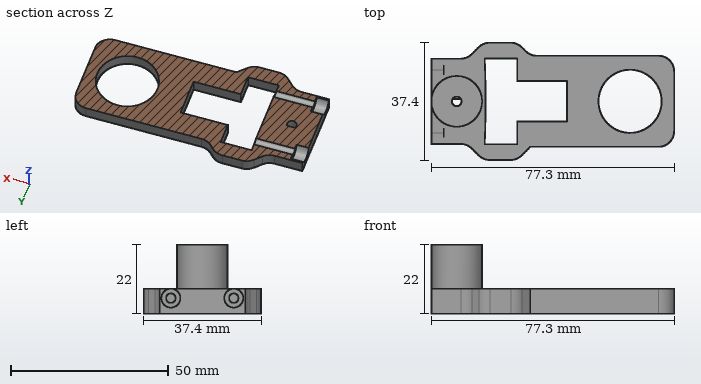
import cadquery as cq

length = 77.3
thickness = 8.0
end_half_width = 13.6
bulge_half_width = 18.7
body_half_width = 14.5
bulge_start_x = 16.5
bulge_end_x = 27.3
corner_radius = 5.0
neck_x = bulge_start_x - (bulge_half_width - end_half_width)
shoulder_x = bulge_end_x + (bulge_half_width - body_half_width)

window_start_x = 17.0
stem_end_x = 43.1
stem_half_width = 6.4
window_bow = 0.3

opening_diameter = 20.0
opening_x = 63.2

total_height = 22.0
boss_diameter = 16.15
boss_x = boss_diameter / 2
bore_diameter = 3.0
ledge_y = 0.7

screw_spacing = 20.0
screw_diameter = 3.0
head_diameter = 6.0
head_depth = 4.0
screw_z = thickness - head_diameter / 2


def make_plate():
    """Plate outline; only the -Y shoulder stays sharp among the bulge corners."""
    plate = (
        cq.Workplane("XY")
        .moveTo(0, -end_half_width)
        .lineTo(neck_x, -end_half_width)
        .lineTo(bulge_start_x, -bulge_half_width)
        .lineTo(bulge_end_x, -bulge_half_width)
        .lineTo(shoulder_x, -body_half_width)
        .lineTo(length, -body_half_width)
        .lineTo(length, body_half_width)
        .lineTo(shoulder_x, body_half_width)
        .lineTo(bulge_end_x, bulge_half_width)
        .lineTo(bulge_start_x, bulge_half_width)
        .lineTo(neck_x, end_half_width)
        .lineTo(0, end_half_width)
        .close()
        .extrude(thickness)
    )
    rounded_corners = [(shoulder_x, body_half_width)]
    for side in (-1, 1):
        rounded_corners += [
            (neck_x, side * end_half_width),
            (bulge_start_x, side * bulge_half_width),
            (bulge_end_x, side * bulge_half_width),
            (length, side * body_half_width),
        ]
    corner_edges = cq.Workplane("XY")
    for x, y in rounded_corners:
        nearest = cq.selectors.NearestToPointSelector((x, y, thickness / 2))
        corner_edges = corner_edges.add(plate.edges("|Z").edges(nearest))
    return plate.newObject(corner_edges.vals()).fillet(corner_radius)


def make_window():
    """T-shaped cutter whose wall beside the boss bows slightly into the window."""
    return (
        cq.Workplane("XY")
        .moveTo(window_start_x, -end_half_width)
        .lineTo(bulge_end_x, -end_half_width)
        .lineTo(bulge_end_x, -stem_half_width)
        .lineTo(stem_end_x, -stem_half_width)
        .lineTo(stem_end_x, stem_half_width)
        .lineTo(bulge_end_x, stem_half_width)
        .lineTo(bulge_end_x, end_half_width)
        .lineTo(window_start_x, end_half_width)
        .threePointArc((window_start_x + window_bow, 0), (window_start_x, -end_half_width))
        .close()
        .extrude(thickness)
    )


def make_bore():
    """Round bore through the boss, partly closed by a straight ledge in the plate."""
    bore = cq.Workplane("XY").center(boss_x, 0).circle(bore_diameter / 2).extrude(total_height)
    ledge = (
        cq.Workplane("XY")
        .center(boss_x, ledge_y)
        .rect(bore_diameter, bore_diameter)
        .extrude(thickness)
        .translate((0, bore_diameter / 2, 0))
    )
    return bore.cut(ledge)


def make_screw_hole(y):
    """Counterbored hole along X from the end face into the window."""
    end_face = cq.Workplane("YZ").center(y, screw_z)
    head = end_face.circle(head_diameter / 2).extrude(head_depth)
    shank = end_face.circle(screw_diameter / 2).extrude(bulge_end_x - head_depth)
    return head.union(shank)


boss = cq.Workplane("XY").center(boss_x, 0).circle(boss_diameter / 2).extrude(total_height)
opening = cq.Workplane("XY").center(opening_x, 0).circle(opening_diameter / 2).extrude(thickness)

result = make_plate().cut(make_window()).cut(opening).union(boss).cut(make_bore())
for screw_y in (-screw_spacing / 2, screw_spacing / 2):
    result = result.cut(make_screw_hole(screw_y))